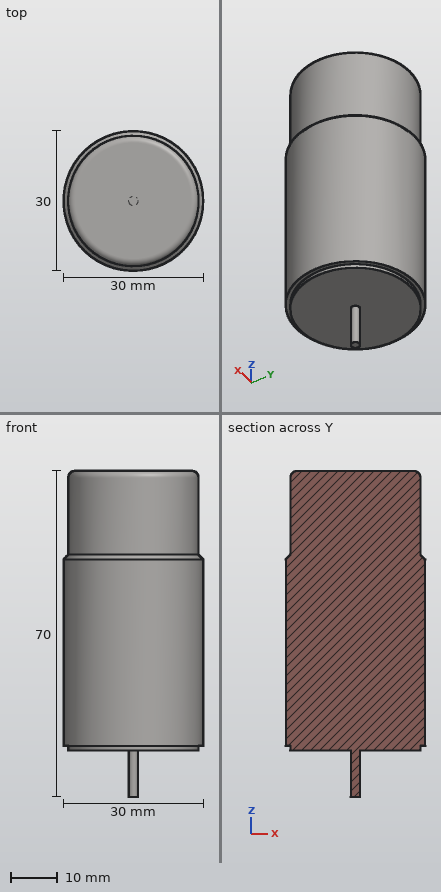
import cadquery as cq

body_diameter = 30.0
cap_diameter = 28.0
pin_diameter = 2.0
housing_height = 60.0
cap_height = 18.0
base_height = 1.0
pin_length = 10.0
cap_fillet = 1.5

shoulder_chamfer = (body_diameter - cap_diameter) / 2
body_height = housing_height - cap_height - base_height


def cylinder(diameter, bottom, height):
    """Upright cylinder on the Z axis, starting at the given level."""
    return cq.Workplane("XY").workplane(offset=bottom).circle(diameter / 2).extrude(height)


def make_body():
    """Main barrel with a chamfered shoulder at its top."""
    return cylinder(body_diameter, base_height, body_height).faces(">Z").edges().chamfer(shoulder_chamfer)


def make_cap():
    """Narrower upper section with a rounded rim."""
    return cylinder(cap_diameter, base_height + body_height, cap_height).faces(">Z").edges().fillet(cap_fillet)


base = cylinder(cap_diameter, 0, base_height)
pin = cylinder(pin_diameter, -pin_length, pin_length)

result = make_body().union(make_cap()).union(base).union(pin)